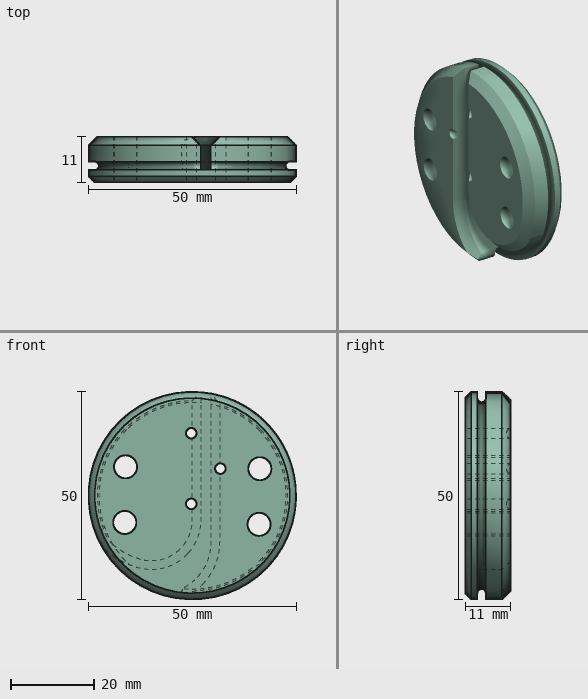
import cadquery as cq
import math


axis = (0.0, 0.0)
disc_radius = 25.0
thickness = 11.0
flange_thickness = 3.0
flange_chamfer = 1.5
rim_chamfer = 2.1

groove_width = 2.0
groove_depth = 2.5

slot_left = 2.0
slot_right = 4.45

outer_bend_radius = 12.5
outer_bend_height = -11.15
lip_radius = 1.6

nose_start_angle = 203.6
nose_radius = 10.0
nose_end_angle = 232.6
flank_radius = 20.0
flank_end_angle = 254.0

large_hole_diameter = 5.5
large_hole_circle_radius = 17.5
large_hole_half_angle = 22.5
large_hole_turn = -0.8

small_hole_diameter = 2.5
small_hole_centres = [(-0.25, 15.0), (6.75, 6.5), (-0.25, -2.0)]


def polar(centre, radius, angle):
    """Point at a radius and an angle in degrees around a centre, in the XZ plane."""
    a = math.radians(angle)
    return (centre[0] + radius * math.cos(a), centre[1] + radius * math.sin(a))


def arc_to(sketch, centre, radius, start_angle, end_angle):
    """Add an arc around a centre to an outline that has reached its start angle."""
    middle = polar(centre, radius, (start_angle + end_angle) / 2)
    return sketch.threePointArc(middle, polar(centre, radius, end_angle))


def angle_on_rim(x):
    """Angle of the upper rim point at a given X."""
    return math.degrees(math.acos(x / disc_radius))


def plane_at(y):
    """XZ workplane at a distance along Y; a negative extrusion goes toward +Y."""
    return cq.Workplane("XZ", origin=(0, y, 0))


def make_flange():
    flange = plane_at(0).circle(disc_radius).extrude(-flange_thickness)
    return flange.faces("<Y").chamfer(flange_chamfer)


def extrude_island(outline):
    """Close an outline on the flange and raise it to the rear face."""
    return outline.close().extrude(flange_thickness - thickness)


def make_left_island():
    nose_centre = polar(axis, disc_radius - nose_radius, nose_start_angle)
    flank_centre = polar(nose_centre, nose_radius - flank_radius, nose_end_angle)
    flank_end = polar(flank_centre, flank_radius, flank_end_angle)
    bend_radius = (slot_left - flank_end[0]) / (1 - math.cos(math.radians(flank_end_angle)))
    bend_centre = polar(flank_end, -bend_radius, flank_end_angle)

    top_angle = angle_on_rim(slot_left)
    outline = plane_at(flange_thickness).moveTo(*polar(axis, disc_radius, top_angle))
    outline = arc_to(outline, axis, disc_radius, top_angle, nose_start_angle)
    outline = arc_to(outline, nose_centre, nose_radius, nose_start_angle, nose_end_angle)
    outline = arc_to(outline, flank_centre, flank_radius, nose_end_angle, flank_end_angle)
    outline = arc_to(outline, bend_centre, bend_radius, flank_end_angle, 360)
    return extrude_island(outline).faces(">Y").chamfer(rim_chamfer)


def make_right_island():
    bend_centre = (slot_right - outer_bend_radius, outer_bend_height)

    distance = math.hypot(*bend_centre)
    direction = math.degrees(math.atan2(bend_centre[1], bend_centre[0]))
    along = (disc_radius**2 - outer_bend_radius**2 + distance**2) / (2 * distance)
    tip_angle = direction + math.degrees(math.acos(along / disc_radius))
    tip = polar(axis, disc_radius, tip_angle)
    bend_end_angle = math.degrees(math.atan2(tip[1] - bend_centre[1], tip[0] - bend_centre[0]))

    top_angle = angle_on_rim(slot_right)
    outline = plane_at(flange_thickness).moveTo(*polar(axis, disc_radius, top_angle))
    outline = arc_to(outline, axis, disc_radius, top_angle, tip_angle)
    outline = arc_to(outline, bend_centre, outer_bend_radius, bend_end_angle, 0)
    sharp = extrude_island(outline)

    rounded = sharp.edges("|Y").edges("<Z").fillet(lip_radius)
    return sharp.faces(">Y").chamfer(rim_chamfer).intersect(rounded)


def make_groove():
    bottom_radius = disc_radius - groove_depth
    straight_radius = bottom_radius + groove_width / 2
    middle = flange_thickness + groove_width / 2
    clear_radius = disc_radius + groove_width
    profile = (
        cq.Workplane("XY")
        .moveTo(clear_radius, flange_thickness)
        .lineTo(straight_radius, flange_thickness)
        .threePointArc((bottom_radius, middle), (straight_radius, flange_thickness + groove_width))
        .lineTo(clear_radius, flange_thickness + groove_width)
        .close()
    )
    return profile.revolve(360, (0, 0, 0), (0, 1, 0))


def make_holes():
    large_centres = [
        polar(axis, large_hole_circle_radius, side + large_hole_turn + offset)
        for side in (0, 180)
        for offset in (-large_hole_half_angle, large_hole_half_angle)
    ]
    large = plane_at(0).pushPoints(large_centres).circle(large_hole_diameter / 2).extrude(-thickness)
    small = plane_at(0).pushPoints(small_hole_centres).circle(small_hole_diameter / 2).extrude(-thickness)
    return large.add(small).combine()


islands = make_left_island().union(make_right_island())
body = make_flange().union(islands.cut(make_groove()))
result = body.cut(make_holes())